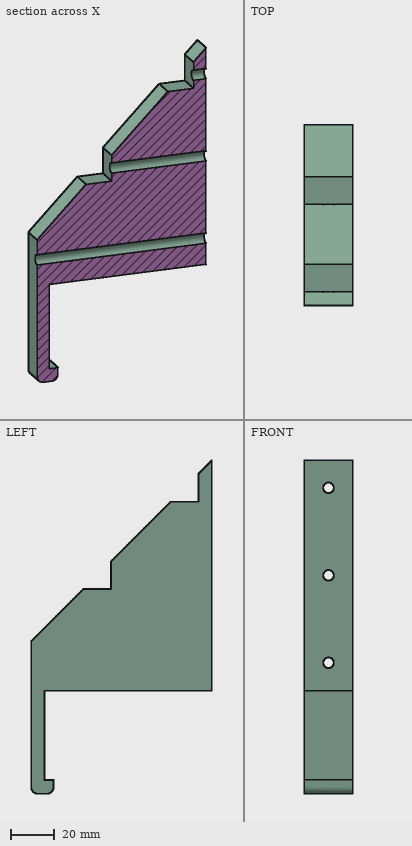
import cadquery as cq

width = 22.3
depth = 82.6
height = 152.4

wall = 6.2
body_bottom = 47.1
hole_diameter = 4.7
hole_pitch = 40.0
top_hole_z = 139.8
hole_heights = [top_hole_z - i * hole_pitch for i in range(3)]

step = 12.5
upper_riser_y = wall
upper_ledge_z = top_hole_z - step / 2
lower_riser_y = upper_riser_y + hole_pitch
lower_ledge_z = upper_ledge_z - hole_pitch

hook_reach = 10.4
hook_thickness = 6.4
hook_radius = hook_thickness / 2


def make_profile():
    """Bracket side outline; the sloping edges all run at 45 degrees."""
    leg_inner_y = depth - wall
    hook_tip_y = depth - hook_reach
    lower_slope_y = lower_riser_y + step
    lower_slope_end_z = lower_ledge_z - (depth - lower_slope_y)
    outline = [
        (0, body_bottom),
        (0, height),
        (upper_riser_y, height - upper_riser_y),
        (upper_riser_y, upper_ledge_z),
        (upper_riser_y + step, upper_ledge_z),
        (lower_riser_y, lower_ledge_z + step),
        (lower_riser_y, lower_ledge_z),
        (lower_slope_y, lower_ledge_z),
        (depth, lower_slope_end_z),
        (depth, 0),
        (hook_tip_y, 0),
        (hook_tip_y, hook_thickness),
        (leg_inner_y, hook_thickness),
        (leg_inner_y, body_bottom),
    ]
    return cq.Workplane("YZ").polyline(outline).close()


def make_holes():
    """Mounting holes running along Y through the whole body."""
    return (
        cq.Workplane("XZ")
        .pushPoints([(0, z) for z in hole_heights])
        .circle(hole_diameter / 2)
        .extrude(-depth)
    )


bracket = make_profile().extrude(width / 2, both=True)
bracket = bracket.faces("<Z").edges("|X").fillet(hook_radius)

result = bracket.cut(make_holes())